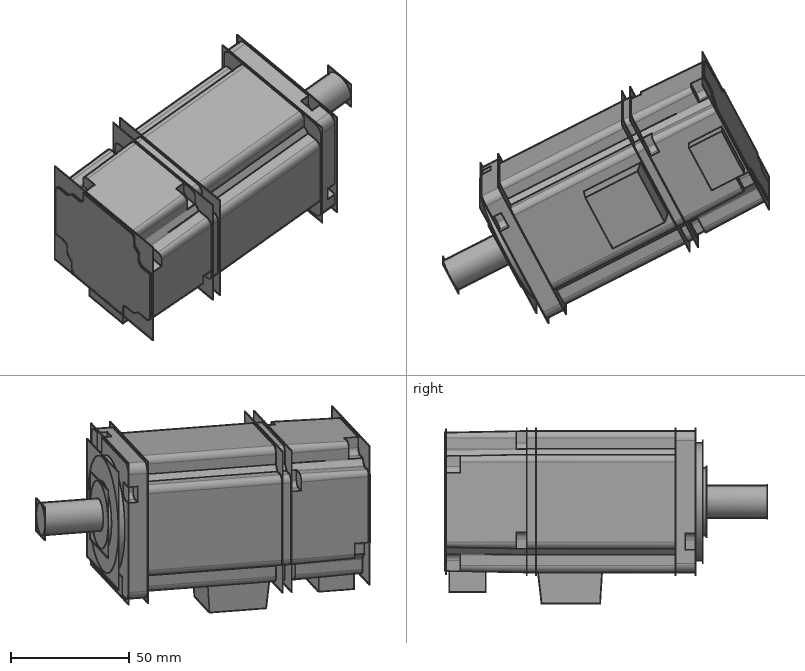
import cadquery as cq
import math

COLLAR_START = 25.7
PILOT_START = 27.3
FLANGE_START = 30.4
HOUSING_START = 39.0
RING_START = 98.0
COVER_START = 102.0
MOTOR_END = 136.7

SHAFT_DIAMETER = 14.0
COLLAR_DIAMETER = 29.0
PILOT_DIAMETER = 50.0

FRAME_WIDTH = 60.0
HALF_FRAME = FRAME_WIDTH / 2
FLANGE_CORNER_RADIUS = 4.0

LOBE_HALF_WIDTH = 20.0
NOTCH_CHAMFER = 2.5
NOTCH_STEP = LOBE_HALF_WIDTH + NOTCH_CHAMFER
LOBE_RADIUS = 3.0
COVER_INSET = 0.7

RIM_THICKNESS = 0.1
SHAFT_RIM_WIDTH = 14.5
COLLAR_RIM_WIDTH = 30.1
PILOT_RIM_WIDTH = 52.1
FRAME_RIM_WIDTH = 62.3
END_RIM_WIDTH = 61.3
END_RIM_SETBACK = 0.7

POCKET_WIDTH = 7.0
POCKET_RADIUS = 2.7
POCKET_FLOOR = NOTCH_STEP - 0.3
POCKET_OVERCUT = 1.4
FLANGE_POCKET_OUTER = 20.4
FLANGE_POCKET_LENGTH = 4.4
COVER_FRONT_POCKET_LENGTH = 4.4
COVER_REAR_POCKET_LENGTH = 6.7

POWER_WIDTH = 25.0
POWER_FRONT = 70.0
POWER_REAR = 97.2
POWER_BOTTOM = 43.2
POWER_FRONT_DRAFT = 0.8
POWER_REAR_DRAFT = 1.5

ENCODER_WIDTH = 20.9
ENCODER_FRONT = 119.2
ENCODER_REAR = 134.8
ENCODER_BOTTOM = 38.3


def section(station):
    """Workplane across the motor axis: local x is X, local y is Z, extrusion runs to -Y."""
    return cq.Workplane("XZ", origin=(0, -station, 0))


def cylinder(station, end, diameter):
    return section(station).circle(diameter / 2).extrude(end - station)


def rim(station, width):
    return section(station).rect(width, width).extrude(RIM_THICKNESS)


def turned(point, quarter_turns):
    """Rotate a section point clockwise by quarter turns."""
    x, z = point
    for _ in range(quarter_turns):
        x, z = z, -x
    return x, z


def notched_outline(station):
    shoulder = HALF_FRAME - LOBE_RADIUS
    crown = LOBE_HALF_WIDTH - LOBE_RADIUS
    outline = section(station).moveTo(-LOBE_HALF_WIDTH, NOTCH_STEP)
    for quarter in range(4):
        outline = (
            outline.lineTo(*turned((-LOBE_HALF_WIDTH, shoulder), quarter))
            .radiusArc(turned((-crown, HALF_FRAME), quarter), LOBE_RADIUS)
            .lineTo(*turned((crown, HALF_FRAME), quarter))
            .radiusArc(turned((LOBE_HALF_WIDTH, shoulder), quarter), LOBE_RADIUS)
            .lineTo(*turned((LOBE_HALF_WIDTH, NOTCH_STEP), quarter))
        )
        if quarter < 3:
            outline = outline.lineTo(*turned((NOTCH_STEP, LOBE_HALF_WIDTH), quarter))
    return outline.close()


def cut_pockets(body, station, length, inner, outer):
    """Cut four pockets open to the frame sides; inner and outer are their X limits on the top side."""
    height = HALF_FRAME + POCKET_OVERCUT - POCKET_FLOOR
    rounded_edge = "<X and <Z" if inner < outer else ">X and <Z"
    pocket = (
        section(station)
        .center((inner + outer) / 2, POCKET_FLOOR + height / 2)
        .rect(abs(outer - inner), height)
        .extrude(length)
        .edges("|Y")
        .edges(rounded_edge)
        .fillet(POCKET_RADIUS)
    )
    for quarter in range(4):
        body = body.cut(pocket.rotate((0, 0, 0), (0, 1, 0), 90 * quarter))
    return body


def make_shaft():
    return cylinder(0, COLLAR_START, SHAFT_DIAMETER).union(rim(0, SHAFT_RIM_WIDTH))


def make_flange():
    """Square mounting flange with its centring pilot and the collar around the shaft."""
    flange = (
        section(FLANGE_START)
        .rect(FRAME_WIDTH, FRAME_WIDTH)
        .extrude(HOUSING_START - FLANGE_START)
        .edges("|Y")
        .fillet(FLANGE_CORNER_RADIUS)
    )
    flange = cut_pockets(
        flange, FLANGE_START, FLANGE_POCKET_LENGTH,
        FLANGE_POCKET_OUTER - POCKET_WIDTH, FLANGE_POCKET_OUTER,
    )
    return (
        flange.union(cylinder(PILOT_START, FLANGE_START, PILOT_DIAMETER))
        .union(cylinder(COLLAR_START, PILOT_START, COLLAR_DIAMETER))
        .union(rim(COLLAR_START, COLLAR_RIM_WIDTH))
        .union(rim(PILOT_START, PILOT_RIM_WIDTH))
        .union(rim(FLANGE_START, FRAME_RIM_WIDTH))
        .union(rim(HOUSING_START - RIM_THICKNESS, FRAME_RIM_WIDTH))
    )


def make_notched_body(start, end):
    """Straight notched block with a rim around its rear end."""
    block = notched_outline(start).extrude(end - start)
    return block.union(rim(end - RIM_THICKNESS, FRAME_RIM_WIDTH))


def make_cover():
    """Drafted encoder cover with screw pockets at both ends."""
    length = MOTOR_END - COVER_START
    draft = math.degrees(math.atan(COVER_INSET / length))
    cover = notched_outline(COVER_START).extrude(length, taper=draft)
    cover = cut_pockets(
        cover, COVER_START, COVER_FRONT_POCKET_LENGTH,
        LOBE_HALF_WIDTH - POCKET_WIDTH, LOBE_HALF_WIDTH,
    )
    cover = cut_pockets(
        cover, MOTOR_END - COVER_REAR_POCKET_LENGTH, COVER_REAR_POCKET_LENGTH,
        POCKET_WIDTH - LOBE_HALF_WIDTH + COVER_INSET, -LOBE_HALF_WIDTH,
    )
    return cover.union(rim(MOTOR_END - END_RIM_SETBACK, END_RIM_WIDTH))


def make_power_connector():
    """Block with drafted front and rear faces, hanging from the flat underside of the housing."""
    return (
        cq.Workplane("YZ")
        .moveTo(-POWER_FRONT, -HALF_FRAME)
        .lineTo(-POWER_REAR, -HALF_FRAME)
        .lineTo(-POWER_REAR + POWER_REAR_DRAFT, -POWER_BOTTOM)
        .lineTo(-POWER_FRONT - POWER_FRONT_DRAFT, -POWER_BOTTOM)
        .close()
        .extrude(POWER_WIDTH / 2, both=True)
    )


def make_encoder_connector(cover):
    """Block seated on the sloping underside of the cover."""
    seat = NOTCH_STEP
    block = (
        section(ENCODER_FRONT)
        .center(0, -(seat + ENCODER_BOTTOM) / 2)
        .rect(ENCODER_WIDTH, ENCODER_BOTTOM - seat)
        .extrude(ENCODER_REAR - ENCODER_FRONT)
    )
    return block.cut(cover)


shaft = make_shaft()
flange = make_flange()
housing = make_notched_body(HOUSING_START, RING_START)
ring = make_notched_body(RING_START, COVER_START)
cover = make_cover()
power_connector = make_power_connector()
encoder_connector = make_encoder_connector(cover)

result = cq.Compound.makeCompound([
    shaft.val(),
    flange.val(),
    housing.val(),
    ring.val(),
    cover.val(),
    power_connector.val(),
    encoder_connector.val(),
])